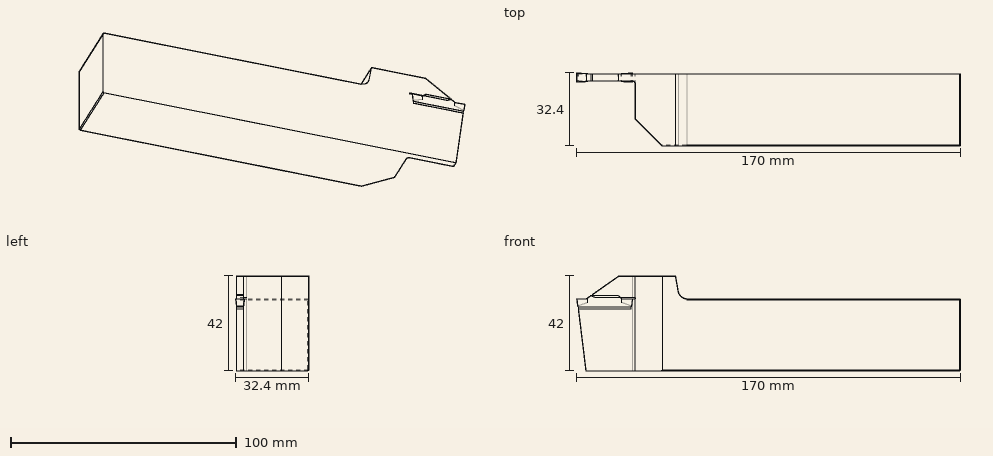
import cadquery as cq
import math


overall_length = 170.0
shank_height = 32.0
shank_width = 32.0
shank_chamfer = 0.5
head_height = 42.0
head_top_end = 43.8
head_rear_angle = 10.0
head_rear_fillet = 4.0
head_corner_chamfer = 12.0

blade_thickness = 3.2
blade_fillet = 1.2
clearance_angle = 7.0
clamp_slope_angle = 35.0
clamp_top_start = 18.5
clamp_nose_height = 0.4

insert_length = 24.7
insert_width = 4.0
cutting_end_length = 4.8
cutting_end_depth = 3.2
cutting_end_back_width = 3.6
cutting_end_base_width = 3.2
insert_bottom = 27.4
foot_top = 28.4
foot_setback = 0.7
ridge_bottom = 32.5
ridge_top = 33.5
ridge_nose_length = 1.8
ridge_end_length = 1.2
relief_depth = 0.1

head_front = insert_length + blade_fillet
blade_middle = -blade_thickness / 2
cutting_end_bottom = shank_height - cutting_end_depth
clearance_slope = math.tan(math.radians(clearance_angle))
front_clearance = cutting_end_depth * clearance_slope


def clamp_slope_x(z):
    """X of the clamp's sloping front at height z."""
    return clamp_top_start - (head_height - z) / math.tan(math.radians(clamp_slope_angle))


ridge_start = clamp_slope_x(ridge_top)
ridge_end = insert_length - ridge_start


def plate(points, thickness):
    """An XZ outline made into a plate centred on the middle of the blade."""
    start = blade_middle + thickness / 2
    return cq.Workplane("XZ", origin=(0, start, 0)).polyline(points).close().extrude(thickness)


def edge_near(body, point):
    """The edge of a body whose centre lies closest to a point."""
    return body.edges(cq.selectors.NearestToPointSelector(point)).val()


foot_outline = [
    (foot_setback, insert_bottom),
    (insert_length - foot_setback, insert_bottom),
    (insert_length - foot_setback, foot_top),
    (foot_setback, foot_top),
]
core_outline = [
    (foot_setback, foot_top),
    (insert_length - foot_setback, foot_top),
    (insert_length - front_clearance, cutting_end_bottom),
    (insert_length, shank_height),
    (insert_length - cutting_end_length, shank_height),
    (ridge_end + ridge_end_length, ridge_bottom),
    (ridge_start + ridge_nose_length, ridge_bottom),
    (ridge_start, ridge_top),
    (clamp_slope_x(shank_height), shank_height),
    (0, shank_height),
    (front_clearance, cutting_end_bottom),
]
ridge_outline = [
    (ridge_start, ridge_top),
    (ridge_start + ridge_nose_length, ridge_bottom),
    (ridge_end + ridge_end_length, ridge_bottom),
    (ridge_end, ridge_top),
]


def shank_and_head():
    rear_lean = (head_height - shank_height) * math.tan(math.radians(head_rear_angle))
    flat_start = head_top_end + rear_lean
    body = (
        cq.Workplane("XZ")
        .moveTo(head_front, 0)
        .lineTo(overall_length, 0)
        .lineTo(overall_length, shank_height)
        .lineTo(flat_start, shank_height)
        .lineTo(head_top_end, head_height)
        .lineTo(head_front, head_height)
        .close()
        .extrude(shank_width)
    )
    body = body.faces("<X").edges("<Y").chamfer(head_corner_chamfer)

    notch = (flat_start, -shank_width / 2, shank_height)
    body = body.newObject([edge_near(body, notch)]).fillet(head_rear_fillet)

    shank_middle_x = (head_front + overall_length) / 2
    chamfered_edges = [
        (shank_middle_x, -shank_width, 0),
        (overall_length, -shank_width / 2, 0),
        (overall_length, -shank_width / 2, shank_height),
        (overall_length, -shank_width, shank_height / 2),
    ]
    edges = [edge_near(body, point) for point in chamfered_edges]
    body = body.newObject(edges).chamfer(shank_chamfer)

    chamfer_start = flat_start + head_rear_fillet * math.tan(math.radians((90 - head_rear_angle) / 2))
    top_wedge = (
        cq.Workplane("YZ", origin=(chamfer_start, 0, 0))
        .moveTo(-shank_width, shank_height)
        .lineTo(-shank_width + shank_chamfer, shank_height)
        .lineTo(-shank_width, shank_height - shank_chamfer)
        .close()
        .extrude(overall_length - chamfer_start)
    )
    return body.cut(top_wedge)


def blade():
    jaw_tip = foot_setback
    clamp_nose_x = clamp_slope_x(ridge_top + clamp_nose_height)
    outline = [
        (jaw_tip + insert_bottom * clearance_slope, 0),
        (head_front, 0),
        (head_front, head_height),
        (clamp_top_start, head_height),
        (clamp_nose_x, ridge_top + clamp_nose_height),
        (clamp_nose_x, shank_height),
        (jaw_tip, shank_height),
        (jaw_tip, insert_bottom),
    ]
    return plate(outline, blade_thickness)


def make_holder():
    holder = shank_and_head().union(blade())
    inner_corner = (head_front, -blade_thickness, head_height / 2)
    holder = holder.newObject([edge_near(holder, inner_corner)]).fillet(blade_fillet)
    for outline in (foot_outline, core_outline, ridge_outline):
        holder = holder.cut(plate(outline, blade_thickness))

    gap = [
        (insert_length - cutting_end_length, shank_height),
        (head_front, shank_height),
        (head_front, ridge_bottom),
        (ridge_end + ridge_end_length, ridge_bottom),
    ]
    return holder.cut(plate(gap, blade_thickness + 2 * blade_fillet))


def cutting_end():
    """Front cutting end, narrowing towards its back and its base."""
    base_back_width = cutting_end_base_width - (insert_width - cutting_end_back_width)

    def section(z, front, front_width, back_width):
        return [
            cq.Vector(front, blade_middle - front_width / 2, z),
            cq.Vector(cutting_end_length, blade_middle - back_width / 2, z),
            cq.Vector(cutting_end_length, blade_middle + back_width / 2, z),
            cq.Vector(front, blade_middle + front_width / 2, z),
        ]

    top = section(shank_height, 0, insert_width, cutting_end_back_width)
    base = section(cutting_end_bottom, front_clearance, cutting_end_base_width, base_back_width)
    wires = [cq.Wire.makePolygon(points, close=True) for points in (base, top)]
    return cq.Workplane(obj=cq.Solid.makeLoft(wires, True))


def make_insert():
    relieved_thickness = blade_thickness - 2 * relief_depth
    front_end = cutting_end()
    rear_end = front_end.rotate(
        (insert_length / 2, blade_middle, 0), (insert_length / 2, blade_middle, 1), 180
    )
    insert = plate(core_outline, blade_thickness)
    insert = insert.union(plate(foot_outline, relieved_thickness))
    insert = insert.union(plate(ridge_outline, relieved_thickness))
    return insert.union(front_end).union(rear_end)


holder = make_holder()
insert = make_insert()

result = cq.Compound.makeCompound([holder.solids().val(), insert.solids().val()])